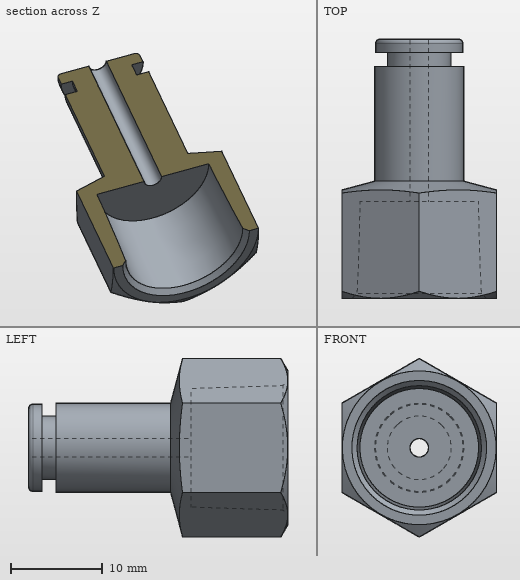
import cadquery as cq
import math

overall_length = 28.5

hex_across_flats = 17.0
hex_across_corners = hex_across_flats / math.cos(math.radians(30))
hex_length = 12.9
front_face_diameter = 16.9
front_chamfer_angle = 30.0
back_cone_angle = 15.0
corner_clearance = 1.0

spigot_diameter = 9.8
groove_diameter = 7.0
groove_width = 1.5
collar_diameter = 9.6
collar_width = 1.5
collar_rounding = 0.5

socket_mouth_diameter = 14.8
socket_throat_diameter = 13.66
socket_end_diameter = 13.03
thread_taper = 1 / 16
passage_diameter = 2.0


def revolve_about_axis(profile):
    """Turn a closed profile, drawn as (Y, radius), about the Y axis."""
    return profile.close().revolve(360, (0, 0, 0), (1, 0, 0))


def make_hex_nut():
    """Hexagonal prism, corners up and down, trimmed by a cone at each end."""
    prism = (
        cq.Workplane("XZ")
        .transformed(rotate=(0, 0, 90))
        .polygon(6, hex_across_corners)
        .extrude(-hex_length)
    )
    trim_radius = hex_across_corners / 2 + corner_clearance
    front_radius = front_face_diameter / 2
    back_radius = spigot_diameter / 2
    front_depth = (trim_radius - front_radius) * math.tan(math.radians(front_chamfer_angle))
    back_depth = (trim_radius - back_radius) * math.tan(math.radians(back_cone_angle))
    envelope = revolve_about_axis(
        cq.Workplane("YZ")
        .moveTo(0, 0)
        .lineTo(0, front_radius)
        .lineTo(front_depth, trim_radius)
        .lineTo(hex_length - back_depth, trim_radius)
        .lineTo(hex_length, back_radius)
        .lineTo(hex_length, 0)
    )
    return prism.intersect(envelope)


def make_spigot():
    """Cylindrical spigot with its groove and rounded end collar."""
    collar_start = overall_length - collar_width
    groove_start = collar_start - groove_width
    spigot_start = hex_length / 2
    spigot = revolve_about_axis(
        cq.Workplane("YZ")
        .moveTo(spigot_start, 0)
        .lineTo(spigot_start, spigot_diameter / 2)
        .lineTo(groove_start, spigot_diameter / 2)
        .lineTo(groove_start, groove_diameter / 2)
        .lineTo(collar_start, groove_diameter / 2)
        .lineTo(collar_start, collar_diameter / 2)
        .lineTo(overall_length, collar_diameter / 2)
        .lineTo(overall_length, 0)
    )
    return spigot.faces(">Y").edges().fillet(collar_rounding)


def make_bore():
    """Tapered socket with a 45 degree mouth chamfer, and the passage beyond it."""
    mouth_depth = (socket_mouth_diameter - socket_throat_diameter) / 2
    taper_length = (socket_throat_diameter - socket_end_diameter) / thread_taper
    socket_depth = mouth_depth + taper_length
    return revolve_about_axis(
        cq.Workplane("YZ")
        .moveTo(0, 0)
        .lineTo(0, socket_mouth_diameter / 2)
        .lineTo(mouth_depth, socket_throat_diameter / 2)
        .lineTo(socket_depth, socket_end_diameter / 2)
        .lineTo(socket_depth, passage_diameter / 2)
        .lineTo(overall_length, passage_diameter / 2)
        .lineTo(overall_length, 0)
    )


result = make_hex_nut().union(make_spigot()).cut(make_bore())